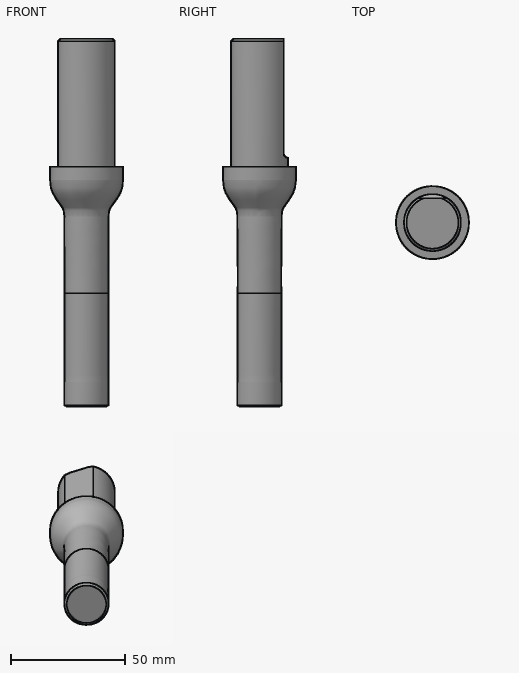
import cadquery as cq
import math

total_length = 161.0
shank_diameter = 25.0
shank_chamfer = 1.1
collar_diameter = 32.0
collar_top = 105.0
collar_bottom = 99.2

neck_upper_radius = 14.0
neck_upper_height = 92.0
neck_lower_radius = 10.6
neck_lower_height = 87.1
neck_bottom = 83.0

guide_diameter = 19.5
guide_bottom = 77.8
stem_diameter = 19.3
stem_top = 49.6
stem_bottom = 13.7
head_top = 10.8
head_diameter = 19.5
end_bevel_width = 1.1
end_bevel_height = 0.6

flat_offset = 10.6
flat_bottom = 108.8
runout_radius = 2.0


def make_holder():
    """Shank, collar, curved neck and the slightly tapered guide, turned as one piece."""
    shank_r = shank_diameter / 2
    collar_r = collar_diameter / 2
    guide_r = guide_diameter / 2

    neck_points = [
        (neck_upper_radius, neck_upper_height),
        (neck_lower_radius, neck_lower_height),
        (guide_r, neck_bottom),
    ]
    downward = (0, -1)

    body = (
        cq.Workplane("XZ")
        .moveTo(0, total_length)
        .lineTo(shank_r - shank_chamfer, total_length)
        .lineTo(shank_r, total_length - shank_chamfer)
        .lineTo(shank_r, collar_top)
        .lineTo(collar_r, collar_top)
        .lineTo(collar_r, collar_bottom)
        .spline(neck_points, tangents=[downward, downward], includeCurrent=True)
        .lineTo(guide_r, guide_bottom)
        .lineTo(stem_diameter / 2, stem_top)
        .lineTo(0, stem_top)
        .close()
        .revolve(360, (0, 0, 0), (0, 1, 0))
    )
    return body.cut(make_flat_cutter())


def make_flat_cutter():
    """Block that leaves the flat; a quarter arc rounds its inner lower edge."""
    runout_center = (flat_offset + runout_radius, flat_bottom + runout_radius)
    runout_mid_reach = runout_radius * math.cos(math.radians(45))
    runout_mid = (runout_center[0] - runout_mid_reach, runout_center[1] - runout_mid_reach)
    return (
        cq.Workplane("YZ")
        .moveTo(flat_offset, total_length)
        .lineTo(flat_offset, flat_bottom + runout_radius)
        .threePointArc(runout_mid, (flat_offset + runout_radius, flat_bottom))
        .lineTo(collar_diameter / 2, flat_bottom)
        .lineTo(collar_diameter / 2, total_length)
        .close()
        .extrude(shank_diameter / 2, both=True)
    )


def make_working_end():
    """Lower stem that widens through a slight cone into the bevelled head."""
    stem_r = stem_diameter / 2
    head_r = head_diameter / 2
    return (
        cq.Workplane("XZ")
        .moveTo(0, stem_top)
        .lineTo(stem_r, stem_top)
        .lineTo(stem_r, stem_bottom)
        .lineTo(head_r, head_top)
        .lineTo(head_r, end_bevel_height)
        .lineTo(head_r - end_bevel_width, 0)
        .lineTo(0, 0)
        .close()
        .revolve(360, (0, 0, 0), (0, 1, 0))
    )


holder = make_holder()
working_end = make_working_end()

result = cq.Compound.makeCompound([holder.val(), working_end.val()])